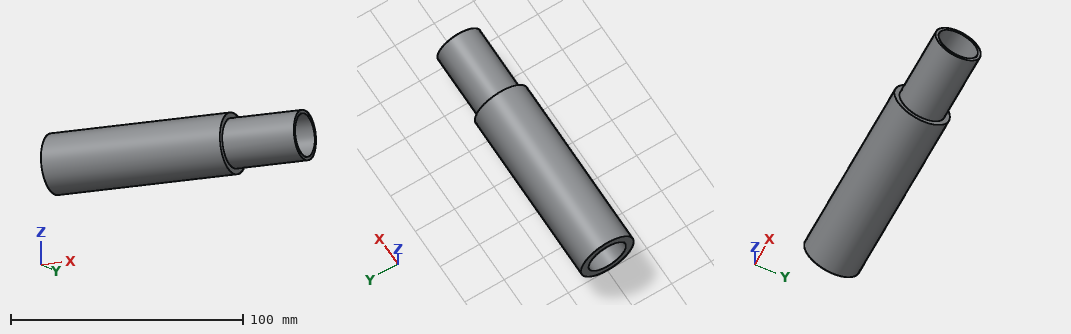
import cadquery as cq

total_length = 120.0
body_length = 85.8
body_diameter = 26.9
spigot_diameter = 22.0
bore_diameter = 19.0

spigot_length = total_length - body_length

body = cq.Workplane("YZ").circle(body_diameter / 2).extrude(body_length)

stepped_bar = body.faces(">X").workplane().circle(spigot_diameter / 2).extrude(spigot_length)

bore = cq.Workplane("YZ").circle(bore_diameter / 2).extrude(total_length)
result = stepped_bar.cut(bore)